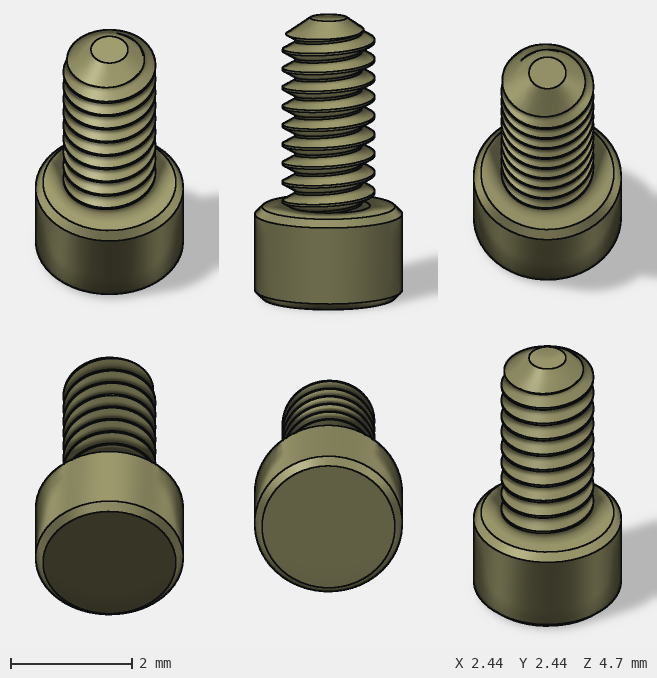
import cadquery as cq
import math

total_length = 4.7
head_diameter = 2.44
head_height = 1.525
head_chamfer = head_diameter / 20

shank_length = total_length - head_height
major_radius = 0.76
tip_radius = 0.305
tip_slope_angle = 35.0

turns_on_shank = 10
pitch = shank_length / turns_on_shank
flank_angle = 30.0
flat_width = pitch / 8
thread_depth = (pitch / 2 - flat_width) / math.tan(math.radians(flank_angle))
root_radius = major_radius - thread_depth
crest_phase = 0.68
spare_turns = 2
ridge_overlap = 0.01
envelope_clearance = 0.18


def make_head():
    head = cq.Workplane("XY").circle(head_diameter / 2).extrude(head_height)
    return head.faces("<Z or >Z").chamfer(head_chamfer)


def make_core():
    """Plain cylinder at the thread root, longer than the ridge at both ends."""
    return cq.Workplane("XY").circle(root_radius).extrude(total_length + head_height)


def make_ridge():
    """Right-handed helical ridge that starts below the shank and ends above it."""
    start_height = head_height + (crest_phase - spare_turns) * pitch
    ridge_length = (turns_on_shank + 2 * spare_turns) * pitch
    inner_radius = root_radius - ridge_overlap
    crest_half = flat_width / 2
    flank_rise = (major_radius - inner_radius) * math.tan(math.radians(flank_angle))
    base_half = crest_half + flank_rise

    path = cq.Wire.makeHelix(pitch, ridge_length, inner_radius, cq.Vector(0, 0, start_height))
    return (
        cq.Workplane("XZ")
        .moveTo(inner_radius, start_height - base_half)
        .lineTo(major_radius, start_height - crest_half)
        .lineTo(major_radius, start_height + crest_half)
        .lineTo(inner_radius, start_height + base_half)
        .close()
        .sweep(cq.Workplane(path), isFrenet=True)
    )


def make_envelope():
    """Cone-tipped body that trims the thread flush with the head and shapes the tip."""
    envelope_radius = major_radius + envelope_clearance
    cone_height = (envelope_radius - tip_radius) * math.tan(math.radians(tip_slope_angle))
    return (
        cq.Workplane("XZ")
        .moveTo(0, head_height)
        .lineTo(envelope_radius, head_height)
        .lineTo(envelope_radius, total_length - cone_height)
        .lineTo(tip_radius, total_length)
        .lineTo(0, total_length)
        .close()
        .revolve(360, (0, 0), (0, 1))
    )


threaded_shank = make_core().union(make_ridge()).intersect(make_envelope())
result = make_head().union(threaded_shank)